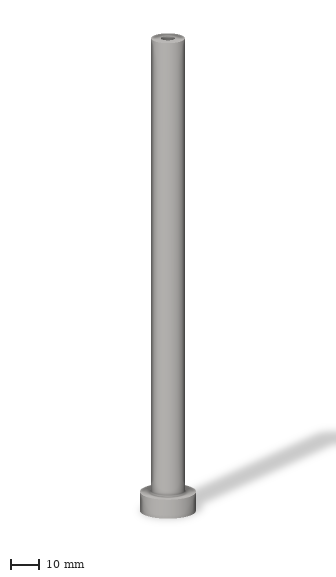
import cadquery as cq

total_length = 175.0
head_diameter = 20.0
head_height = 7.0
shank_diameter = 12.0
bore_diameter = 5.0
neck_fillet = 0.5

head = cq.Workplane("XY").circle(head_diameter / 2).extrude(head_height)
shank = cq.Workplane("XY").circle(shank_diameter / 2).extrude(total_length)
body = head.union(shank)

head_top = body.faces("+Z").faces("<Z")
body = head_top.edges(cq.selectors.RadiusNthSelector(0)).fillet(neck_fillet)

bore = cq.Workplane("XY").circle(bore_diameter / 2).extrude(total_length)
result = body.cut(bore)